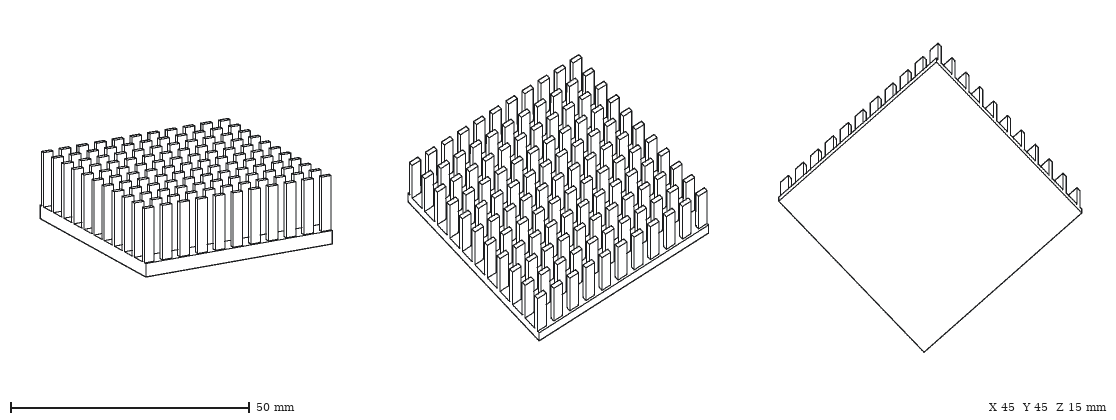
import cadquery as cq

BASE_SIDE = 45.0
BASE_THICKNESS = 3.0

TOTAL_HEIGHT = 15.0
PINS_PER_SIDE = 11
PIN_SIZE_X = 1.0
PIN_SIZE_Y = 2.3
EDGE_MARGIN_X = 0.5

PIN_HEIGHT = TOTAL_HEIGHT - BASE_THICKNESS
PITCH_X = (BASE_SIDE - 2 * EDGE_MARGIN_X - PIN_SIZE_X) / (PINS_PER_SIDE - 1)
PITCH_Y = (BASE_SIDE - PIN_SIZE_Y) / (PINS_PER_SIDE - 1)


def base_plate():
    """Plate centred on the Z axis, resting on Z = 0."""
    return cq.Workplane("XY").box(BASE_SIDE, BASE_SIDE, BASE_THICKNESS, centered=(True, True, False))


def add_pins(body):
    """Grow the centred array of pins from the top of the plate."""
    return (
        body.faces(">Z")
        .workplane()
        .rarray(PITCH_X, PITCH_Y, PINS_PER_SIDE, PINS_PER_SIDE)
        .rect(PIN_SIZE_X, PIN_SIZE_Y)
        .extrude(PIN_HEIGHT)
    )


result = add_pins(base_plate())